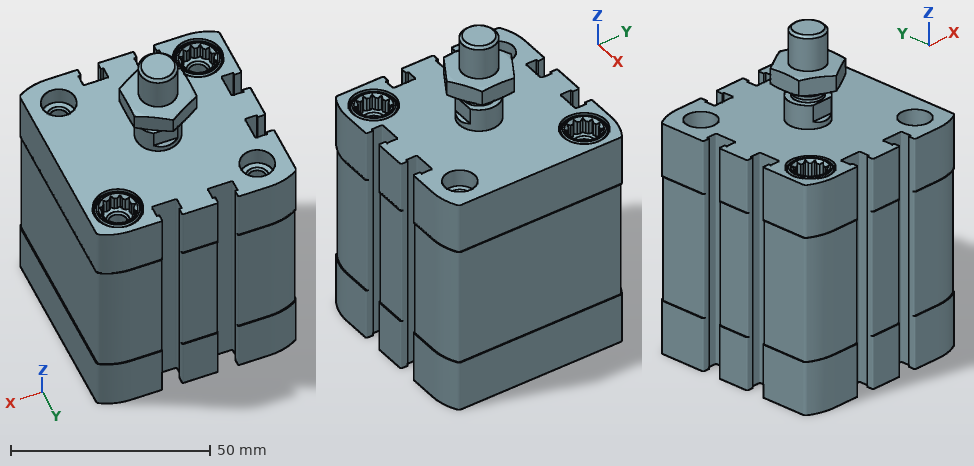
import cadquery as cq
import math

OVERALL_HEIGHT = 90.7
HOUSING_WIDTH = 54.5
HOUSING_HEIGHT = 64.9
CAP_HEIGHT = 15.0
BARREL_INSET = 0.3
FLANK_ARC_RADIUS = 15.5
CORNER_FILLET = 1.1

SLOT_OFFSET = 7.6
SLOT_MOUTH_WIDTH = 5.4
SLOT_INNER_WIDTH = 6.8
SLOT_LIP = 2.1
SLOT_DEPTH = 5.35
SLOT_FILLET = 0.4

HOLE_SPACING = 38.0
BORE_DIAMETER = 4.9
BORE_CHAMFER_DIAMETER = 6.0
COUNTERBORE_DIAMETER = 9.0
COUNTERBORE_DEPTH = 5.0

HEAD_RECESS_DIAMETER = 12.8
HEAD_RECESS_DEPTH = 1.0
HEAD_DIAMETER = 11.9
HEAD_CHAMFER = 0.45
SOCKET_RIM_DIAMETER = 10.0
SOCKET_DIAMETER = 8.2
SOCKET_DEPTH = 4.7
SOCKET_SQUARE = 6.6
SOCKET_SQUARE_COUNT = 3

ROD_DIAMETER = 12.0
ROD_SHOULDER_Z = 6.7
ROD_LENGTH = OVERALL_HEIGHT - HOUSING_HEIGHT
ROD_SEAT_DEPTH = CAP_HEIGHT
FLAT_WIDTH = 10.0
FLAT_Z = 2.1
FLAT_FLOOR_ANGLE = 30
NECK_DIAMETER = 8.2
NECK_END_DIAMETER = 8.6
NECK_START_Z = 7.35
NECK_END_Z = 8.25
RUNOUT_START_Z = 8.5
THREAD_DIAMETER = 10.0
THREAD_TIP_DIAMETER = 8.5
THREAD_TIP_CHAMFER = 0.7

NUT_Z = 10.9
NUT_HEIGHT = 5.0
NUT_ACROSS_FLATS = 17.05
NUT_FACE_DIAMETER = 16.7
NUT_CHAMFER_HEIGHT = 0.4

HALF_WIDTH = HOUSING_WIDTH / 2
HALF_SPACING = HOLE_SPACING / 2
OPEN_HOLES = [(-HALF_SPACING, HALF_SPACING), (HALF_SPACING, -HALF_SPACING)]
HEAD_HOLES = [(-HALF_SPACING, -HALF_SPACING), (HALF_SPACING, HALF_SPACING)]


def cone(bottom_radius, top_radius, bottom_z, top_z):
    """Solid cone frustum on the Z axis."""
    outline = [(0, bottom_z), (bottom_radius, bottom_z), (top_radius, top_z), (0, top_z)]
    return cq.Workplane("XZ").polyline(outline).close().revolve(360, (0, 0), (0, 1))


def disc(diameter, bottom_z, top_z):
    """Solid cylinder on the Z axis."""
    return cone(diameter / 2, diameter / 2, bottom_z, top_z)


def housing_block(inset, bottom_z, height):
    """Unslotted length of the housing, its outline set back by inset."""
    face = HALF_WIDTH - inset
    arc_radius = FLANK_ARC_RADIUS - inset
    arc_center_y = face - arc_radius
    arc_span = face - HALF_SPACING
    side_y = arc_center_y + math.sqrt(arc_radius**2 - arc_span**2)
    middle_x = HALF_SPACING + arc_span / 2
    middle_y = arc_center_y + math.sqrt(arc_radius**2 - (arc_span / 2) ** 2)
    return (
        cq.Workplane("XY", origin=(0, 0, bottom_z))
        .moveTo(-HALF_SPACING, face)
        .lineTo(HALF_SPACING, face)
        .threePointArc((middle_x, middle_y), (face, side_y))
        .lineTo(face, -side_y)
        .threePointArc((middle_x, -middle_y), (HALF_SPACING, -face))
        .lineTo(-HALF_SPACING, -face)
        .threePointArc((-middle_x, -middle_y), (-face, -side_y))
        .lineTo(-face, side_y)
        .threePointArc((-middle_x, middle_y), (-HALF_SPACING, face))
        .close()
        .extrude(height)
        .edges("|Z and (<X or >X)")
        .fillet(CORNER_FILLET - inset)
    )


def slot_cutter(inset, bottom_z, height):
    """T-slot open towards +Y, its mouth edges rounded where they meet a face set back by inset."""
    face_y = HALF_WIDTH - inset
    floor_y = HALF_WIDTH - SLOT_DEPTH
    lip_y = HALF_WIDTH - SLOT_LIP
    mouth = SLOT_MOUTH_WIDTH / 2
    inner = SLOT_INNER_WIDTH / 2
    flare = mouth + SLOT_FILLET
    bend = SLOT_FILLET * (1 - math.sqrt(0.5))
    channel = (
        cq.Workplane("XY")
        .rect(2 * inner, lip_y - floor_y)
        .extrude(height)
        .edges("|Z and <Y")
        .fillet(SLOT_FILLET)
        .translate((0, (lip_y + floor_y) / 2, 0))
    )
    opening = (
        cq.Workplane("XY")
        .moveTo(-mouth, lip_y)
        .lineTo(mouth, lip_y)
        .lineTo(mouth, face_y - SLOT_FILLET)
        .threePointArc((mouth + bend, face_y - bend), (flare, face_y))
        .lineTo(-flare, face_y)
        .threePointArc((-mouth - bend, face_y - bend), (-mouth, face_y - SLOT_FILLET))
        .close()
        .extrude(height)
    )
    return channel.union(opening).translate((0, 0, bottom_z))


def housing_section(inset, bottom_z, height):
    """One slotted length of the housing, its outline set back by inset."""
    section = housing_block(inset, bottom_z, height)
    cutter = slot_cutter(inset, bottom_z, height)
    for face_angle in (0, 90, 180):
        for side in (-1, 1):
            slot = cutter.translate((side * SLOT_OFFSET, 0, 0))
            section = section.cut(slot.rotate((0, 0, 0), (0, 0, 1), face_angle))
    return section


def bore_cutter(floor_z):
    """Through bore with a chamfer where it meets the floor above it."""
    chamfer = (BORE_CHAMFER_DIAMETER - BORE_DIAMETER) / 2
    bore = disc(BORE_DIAMETER, 0, floor_z)
    return bore.union(cone(BORE_DIAMETER / 2, BORE_CHAMFER_DIAMETER / 2, floor_z - chamfer, floor_z))


def open_hole_cutter():
    """Bore with a plain counterbore."""
    floor_z = HOUSING_HEIGHT - COUNTERBORE_DEPTH
    return bore_cutter(floor_z).union(disc(COUNTERBORE_DIAMETER, floor_z, HOUSING_HEIGHT))


def socket_cutter():
    """Round socket with twelve V grooves and a 45 degree rim, above the chamfered bore."""
    floor_z = HOUSING_HEIGHT - SOCKET_DEPTH
    rim_radius = SOCKET_RIM_DIAMETER / 2
    rim_depth = rim_radius - SOCKET_DIAMETER / 2
    cutter = bore_cutter(floor_z).union(disc(SOCKET_DIAMETER, floor_z, HOUSING_HEIGHT))
    for index in range(SOCKET_SQUARE_COUNT):
        square = (
            cq.Workplane("XY", origin=(0, 0, floor_z))
            .rect(SOCKET_SQUARE, SOCKET_SQUARE)
            .extrude(SOCKET_DEPTH)
            .rotate((0, 0, 0), (0, 0, 1), 45 + 90 / SOCKET_SQUARE_COUNT * index)
        )
        cutter = cutter.union(square)
    return cutter.union(
        cone(SOCKET_DIAMETER / 2, rim_radius, HOUSING_HEIGHT - rim_depth, HOUSING_HEIGHT)
    )


def head_hole_cutter():
    """Annular recess around a chamfered screw head, together with the socket in the head."""
    recess_z = HOUSING_HEIGHT - HEAD_RECESS_DEPTH
    chamfer_z = HOUSING_HEIGHT - HEAD_CHAMFER
    head_radius = HEAD_DIAMETER / 2
    return (
        disc(HEAD_RECESS_DIAMETER, recess_z, HOUSING_HEIGHT)
        .cut(disc(HEAD_DIAMETER, recess_z, chamfer_z))
        .cut(cone(head_radius, head_radius - HEAD_CHAMFER, chamfer_z, HOUSING_HEIGHT))
        .union(socket_cutter())
    )


def make_housing():
    """End caps and barrel in one piece, with slots, corner holes and the rod seat."""
    barrel_height = HOUSING_HEIGHT - 2 * CAP_HEIGHT
    housing = (
        housing_section(0, 0, CAP_HEIGHT)
        .union(housing_section(BARREL_INSET, CAP_HEIGHT, barrel_height))
        .union(housing_section(0, HOUSING_HEIGHT - CAP_HEIGHT, CAP_HEIGHT))
    )
    for x, y in OPEN_HOLES:
        housing = housing.cut(open_hole_cutter().translate((x, y, 0)))
    for x, y in HEAD_HOLES:
        housing = housing.cut(head_hole_cutter().translate((x, y, 0)))
    return housing.cut(disc(ROD_DIAMETER, HOUSING_HEIGHT - ROD_SEAT_DEPTH, HOUSING_HEIGHT))


def flat_cutter():
    """Material removed on the +Y side of the rod to leave one wrench flat."""
    flat_y = FLAT_WIDTH / 2
    outer_y = ROD_DIAMETER
    outer_z = FLAT_Z - (outer_y - flat_y) * math.tan(math.radians(FLAT_FLOOR_ANGLE))
    outline = [
        (flat_y, FLAT_Z),
        (outer_y, outer_z),
        (outer_y, ROD_SHOULDER_Z),
        (flat_y, ROD_SHOULDER_Z),
    ]
    return cq.Workplane("YZ").polyline(outline).close().extrude(ROD_DIAMETER / 2, both=True)


def make_rod():
    """Piston rod with wrench flats, an undercut neck and a plain thread."""
    profile = [
        (0, -ROD_SEAT_DEPTH),
        (ROD_DIAMETER / 2, -ROD_SEAT_DEPTH),
        (ROD_DIAMETER / 2, ROD_SHOULDER_Z),
        (NECK_END_DIAMETER / 2, ROD_SHOULDER_Z),
        (NECK_DIAMETER / 2, NECK_START_Z),
        (NECK_DIAMETER / 2, NECK_END_Z),
        (NECK_END_DIAMETER / 2, RUNOUT_START_Z),
        (THREAD_DIAMETER / 2, NUT_Z),
        (THREAD_DIAMETER / 2, ROD_LENGTH - THREAD_TIP_CHAMFER),
        (THREAD_TIP_DIAMETER / 2, ROD_LENGTH),
        (0, ROD_LENGTH),
    ]
    rod = cq.Workplane("XZ").polyline(profile).close().revolve(360, (0, 0), (0, 1))
    for face_angle in (0, 180):
        rod = rod.cut(flat_cutter().rotate((0, 0, 0), (0, 0, 1), face_angle))
    return rod.translate((0, 0, HOUSING_HEIGHT))


def make_nut():
    """Hexagon nut with two corners on the Y axis, chamfered on both faces."""
    corner_radius = NUT_ACROSS_FLATS / 2 / math.cos(math.radians(30))
    face_radius = NUT_FACE_DIAMETER / 2
    envelope = (
        cone(face_radius, corner_radius, 0, NUT_CHAMFER_HEIGHT)
        .union(disc(2 * corner_radius, NUT_CHAMFER_HEIGHT, NUT_HEIGHT - NUT_CHAMFER_HEIGHT))
        .union(cone(corner_radius, face_radius, NUT_HEIGHT - NUT_CHAMFER_HEIGHT, NUT_HEIGHT))
    )
    nut = (
        cq.Workplane("XY")
        .polygon(6, 2 * corner_radius)
        .extrude(NUT_HEIGHT)
        .rotate((0, 0, 0), (0, 0, 1), 30)
        .intersect(envelope)
        .cut(disc(THREAD_DIAMETER, 0, NUT_HEIGHT))
    )
    return nut.translate((0, 0, HOUSING_HEIGHT + NUT_Z))


housing = make_housing()
rod = make_rod()
nut = make_nut()

result = cq.Compound.makeCompound([housing.val(), rod.val(), nut.val()])